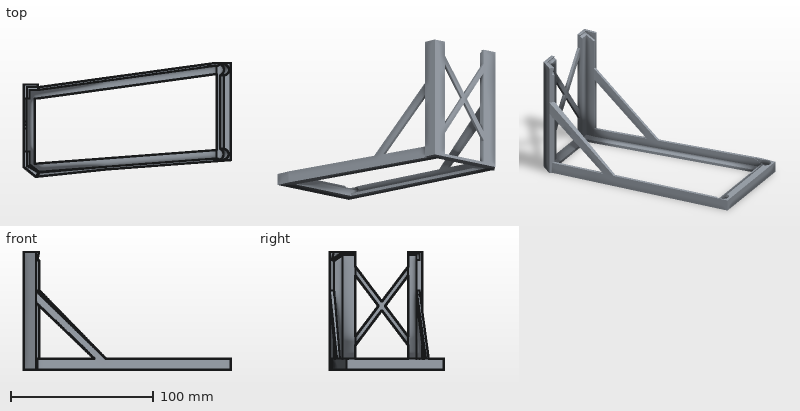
import cadquery as cq
import math

LENGTH = 145.95
WIDTH = 80.29
HEIGHT = 83.0
BASE_HEIGHT = 8.0
FLOOR = 2.0
LIP = 2.0
FRAME = 8.0
END_BAR = 10.0

FRONT_CORNER_Y = 7.0
FRONT_TIP_X = 8.6
FRONT_END_Y = 11.8
BACK_NEAR_Y = 63.2
BACK_BEND_FAR_X = 134.9

POST_WALL = 4.0
BACK_POST_Y = 65.2
BACK_POST_LEG = 10.0
FRONT_POST_LEG = 11.1

CROSS_THICKNESS = 2.0
CROSS_CENTER_Z = 45.0
CROSS_RISE = 49.1
CROSS_BAND = 6.35

STRUT_POST_Z = (47.4, 55.9)
STRUT_RAIL_X = (49.6, 57.8)

TILT = 30.0
RECESS_EDGE_Z = 4.7
RECESS_END_X = 138.3
RECESS_BACK_BEND_X = 129.0
RELIEF_RADIUS = 4.1
RELIEF_CENTERS = ((137.2, 16.0), (137.5, 75.4))

BACK_BEND_NEAR_X = BACK_POST_LEG
END_BAR_X = LENGTH - END_BAR
DIAGONAL = math.hypot(FRONT_TIP_X, FRONT_CORNER_Y)
DIAGONAL_NORMAL = (FRONT_CORNER_Y / DIAGONAL, FRONT_TIP_X / DIAGONAL)
FRONT_POST_TOP_Y = FRONT_CORNER_Y + FRONT_POST_LEG
BACK_POST_BOTTOM_Y = BACK_POST_Y - BACK_POST_LEG
RAIL_START = (FRONT_TIP_X + LIP * DIAGONAL_NORMAL[0], LIP * DIAGONAL_NORMAL[1])
FRONT_SLOPE = (FRONT_END_Y - RAIL_START[1]) / (LENGTH - RAIL_START[0])
BACK_SLOPE = (WIDTH - BACK_NEAR_Y) / (BACK_BEND_FAR_X - BACK_BEND_NEAR_X)


def front_rail_y(x):
    """Outer Y of the front rail at x."""
    return RAIL_START[1] + FRONT_SLOPE * (x - RAIL_START[0])


def back_rail_y(x):
    """Outer Y of the flared part of the back rail at x."""
    return BACK_NEAR_Y + BACK_SLOPE * (x - BACK_BEND_NEAR_X)


def diagonal_y(x, inset):
    """Y at x of the diagonal corner face moved inwards by inset."""
    return FRONT_CORNER_Y + inset / DIAGONAL_NORMAL[1] - x * FRONT_CORNER_Y / FRONT_TIP_X


def prism(points, bottom, top):
    """Vertical prism over a plan outline."""
    return cq.Workplane("XY").workplane(offset=bottom).polyline(points).close().extrude(top - bottom)


def frame_inside(inset, left_x, bottom):
    """Cutter for the space inside the rails, inset from their outer faces."""
    points = [
        (left_x, front_rail_y(left_x) + inset),
        (END_BAR_X, front_rail_y(END_BAR_X) + inset),
        (END_BAR_X, WIDTH - inset),
        (BACK_BEND_FAR_X, WIDTH - inset),
        (BACK_BEND_NEAR_X, BACK_NEAR_Y - inset),
        (left_x, BACK_NEAR_Y - inset),
    ]
    return prism(points, bottom, BASE_HEIGHT)


def base_frame():
    """Open frame with a low floor, upright side lips and a solid far bar."""
    outline = [
        (0, FRONT_CORNER_Y),
        (FRONT_TIP_X, 0),
        RAIL_START,
        (LENGTH, FRONT_END_Y),
        (LENGTH, WIDTH),
        (BACK_BEND_FAR_X, WIDTH),
        (BACK_BEND_NEAR_X, BACK_NEAR_Y),
        (0, BACK_NEAR_Y),
    ]
    frame = prism(outline, 0, BASE_HEIGHT)
    return frame.cut(frame_inside(LIP, 0, FLOOR)).cut(frame_inside(FRAME, FRAME, 0))


def back_post():
    outline = [
        (0, BACK_POST_Y),
        (BACK_POST_LEG, BACK_POST_Y),
        (BACK_POST_LEG, BACK_POST_Y - POST_WALL),
        (POST_WALL, BACK_POST_Y - POST_WALL),
        (POST_WALL, BACK_POST_BOTTOM_Y),
        (0, BACK_POST_BOTTOM_Y),
    ]
    return prism(outline, 0, HEIGHT)


def front_post_end(depth):
    """Point on the end face of the diagonal leg, depth in from its outer tip."""
    return (FRONT_TIP_X + depth * DIAGONAL_NORMAL[0], depth * DIAGONAL_NORMAL[1])


def front_post():
    outline = [
        (0, FRONT_POST_TOP_Y),
        (POST_WALL, FRONT_POST_TOP_Y),
        (POST_WALL, diagonal_y(POST_WALL, POST_WALL)),
        front_post_end(POST_WALL),
        (FRONT_TIP_X, 0),
        (0, FRONT_CORNER_Y),
    ]
    return prism(outline, 0, HEIGHT)


def cross_bar(direction):
    """Bar from post to post, rising with Y for direction 1 and falling for -1."""
    lower_start = CROSS_CENTER_Z - (direction * CROSS_RISE + CROSS_BAND) / 2
    lower_end = CROSS_CENTER_Z + (direction * CROSS_RISE - CROSS_BAND) / 2
    outline = [
        (FRONT_POST_TOP_Y, lower_start),
        (BACK_POST_BOTTOM_Y, lower_end),
        (BACK_POST_BOTTOM_Y, lower_end + CROSS_BAND),
        (FRONT_POST_TOP_Y, lower_start + CROSS_BAND),
    ]
    return cq.Workplane("YZ").polyline(outline).close().extrude(CROSS_THICKNESS)


def polygon_face(corners):
    return cq.Face.makeFromWires(cq.Wire.makePolygon([cq.Vector(*corner) for corner in corners], close=True))


def strut(post_outer, post_inner, rail_y, inward):
    """Strut from a rectangle on a post's end face down to the top of a rail lip."""
    low_z, high_z = STRUT_POST_Z
    near_x, far_x = STRUT_RAIL_X
    post_corners = [(*post_outer, low_z), (*post_inner, low_z), (*post_inner, high_z), (*post_outer, high_z)]
    rail_corners = [
        (near_x, rail_y(near_x), BASE_HEIGHT),
        (near_x, rail_y(near_x) + inward, BASE_HEIGHT),
        (far_x, rail_y(far_x) + inward, BASE_HEIGHT),
        (far_x, rail_y(far_x), BASE_HEIGHT),
    ]
    faces = [polygon_face(post_corners), polygon_face(rail_corners)]
    for corner in range(len(post_corners)):
        edges = [
            cq.Edge.makeLine(cq.Vector(*corners[corner - 1]), cq.Vector(*corners[corner]))
            for corners in (post_corners, rail_corners)
        ]
        faces.append(cq.Face.makeRuledSurface(*edges))
    return cq.Workplane(cq.Solid.makeSolid(cq.Shell.makeShell(faces)).fix())


def plate_recess():
    """Cutter for the leaning plate: everything above its sloping floor."""
    tilt = math.radians(TILT)
    floor_plane = cq.Plane(
        origin=(END_BAR_X, 0, RECESS_EDGE_Z),
        xDir=(math.cos(tilt), 0, -math.sin(tilt)),
        normal=(math.sin(tilt), 0, math.cos(tilt)),
    )

    def on_floor(x, y):
        return ((x - END_BAR_X) / math.cos(tilt), y)

    outline = [
        (LIP, diagonal_y(LIP, LIP)),
        RAIL_START,
        (END_BAR_X, front_rail_y(END_BAR_X) + LIP),
        (RECESS_END_X, front_rail_y(END_BAR_X) + LIP),
        (RECESS_END_X, WIDTH - LIP),
        (RECESS_BACK_BEND_X, WIDTH - LIP),
        (BACK_BEND_NEAR_X, BACK_NEAR_Y),
        (LIP, BACK_NEAR_Y),
    ]
    floor = cq.Workplane(floor_plane)
    recess = floor.polyline([on_floor(*point) for point in outline]).close().extrude(HEIGHT)
    reliefs = floor.pushPoints([on_floor(*center) for center in RELIEF_CENTERS]).circle(RELIEF_RADIUS)
    return recess.union(reliefs.extrude(HEIGHT))


back_strut = strut(
    (BACK_POST_LEG, BACK_NEAR_Y), (BACK_POST_LEG, BACK_NEAR_Y - LIP), back_rail_y, -LIP
)
front_strut = strut(front_post_end(0), front_post_end(POST_WALL), front_rail_y, LIP)

result = base_frame()
for piece in (back_post(), front_post(), cross_bar(1), cross_bar(-1), back_strut, front_strut):
    result = result.union(piece)
result = result.cut(plate_recess())